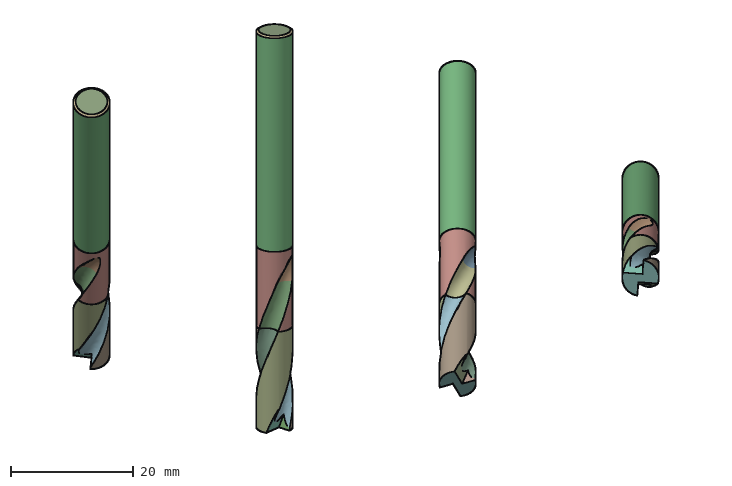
import cadquery as cq
import math

LENGTH = 70.0
DIAMETER = 6.0
NECK_DIAMETER = 5.95
RADIUS = DIAMETER / 2
CHAMFER_WIDTH = 0.4
CHAMFER_HEIGHT = 0.3

CUTTING_TOP = 17.9
FLUTE_TOP = 26.05
RUNOUT_TOP = 30.65
NECK_TOP = 32.05

FLUTE_COUNT = 2
FLUTE_PITCH = 46.2
FLUTE_START_ANGLE = -91.0
CORE_RADIUS = 1.55
FLUTE_RADIUS = 2.0
FLUTE_OFFSET = CORE_RADIUS + FLUTE_RADIUS
EXIT_OFFSET = RADIUS + FLUTE_RADIUS
RUNOUT_STEPS = 4
RUNOUT_POWER = 1.7
OVERRUN = 1.4

GASH_DEPTH_Y = 0.7
GASH_HEIGHT = 4.2
GASH_SLOPE = 0.4
GASH_TURN = 32.0
GASH_END_X = 0.3
GASH_SIZE = DIAMETER


def flute_angle(z):
    return FLUTE_START_ANGLE + 360 * z / FLUTE_PITCH


def flute_circle(z, offset):
    """Wire of the flute section at height z, its centre `offset` from the axis."""
    angle = math.radians(flute_angle(z))
    center = cq.Vector(offset * math.cos(angle), offset * math.sin(angle), z)
    return cq.Wire.makeCircle(FLUTE_RADIUS, center, cq.Vector(0, 0, 1))


def full_depth_flute():
    """Flute from below the cutting end up to the start of the runout."""
    height = FLUTE_TOP + OVERRUN
    flute = (
        cq.Workplane("XY")
        .center(FLUTE_OFFSET, 0)
        .circle(FLUTE_RADIUS)
        .center(-FLUTE_OFFSET, 0)
        .twistExtrude(height, 360 * height / FLUTE_PITCH)
    )
    flute = flute.rotate((0, 0, 0), (0, 0, 1), flute_angle(-OVERRUN))
    return flute.translate((0, 0, -OVERRUN))


def flute_runout():
    """Flute continuing along its helix while it rises out of the rod."""
    sections = []
    for step in range(RUNOUT_STEPS + 1):
        fraction = step / RUNOUT_STEPS
        z = FLUTE_TOP + fraction * (RUNOUT_TOP - FLUTE_TOP)
        offset = FLUTE_OFFSET + fraction**RUNOUT_POWER * (EXIT_OFFSET - FLUTE_OFFSET)
        sections.append(flute_circle(z, offset))
    return cq.Workplane(cq.Solid.makeLoft(sections))


def end_gash():
    top_y = GASH_DEPTH_Y + GASH_SLOPE * GASH_HEIGHT
    gash = (
        cq.Workplane("YZ")
        .polyline([(-GASH_DEPTH_Y, 0), (-GASH_SIZE, 0), (-GASH_SIZE, GASH_HEIGHT), (-top_y, GASH_HEIGHT)])
        .close()
        .extrude(-GASH_SIZE)
        .translate((GASH_END_X, 0, 0))
    )
    return gash.rotate((0, 0, 0), (0, 0, 1), GASH_TURN)


def cut_around(body, tool):
    """Cut one copy of the tool per flute, evenly spaced round the axis."""
    for index in range(FLUTE_COUNT):
        body = body.cut(tool.rotate((0, 0, 0), (0, 0, 1), 360 * index / FLUTE_COUNT))
    return body


def rod(bottom, top, diameter=DIAMETER):
    return cq.Workplane("XY").workplane(offset=bottom).circle(diameter / 2).extrude(top - bottom)


def make_cutting_head():
    head = cut_around(rod(0, CUTTING_TOP), full_depth_flute())
    return cut_around(head, end_gash())


def make_shank():
    neck = cut_around(rod(CUTTING_TOP, NECK_TOP, NECK_DIAMETER), full_depth_flute())
    neck = cut_around(neck, flute_runout())
    plain = rod(NECK_TOP, LENGTH).faces(">Z").chamfer(CHAMFER_HEIGHT, CHAMFER_WIDTH)
    return neck.union(plain)


cutting_head = make_cutting_head()
shank = make_shank()
result = cq.Compound.makeCompound([cutting_head.val(), shank.val()])